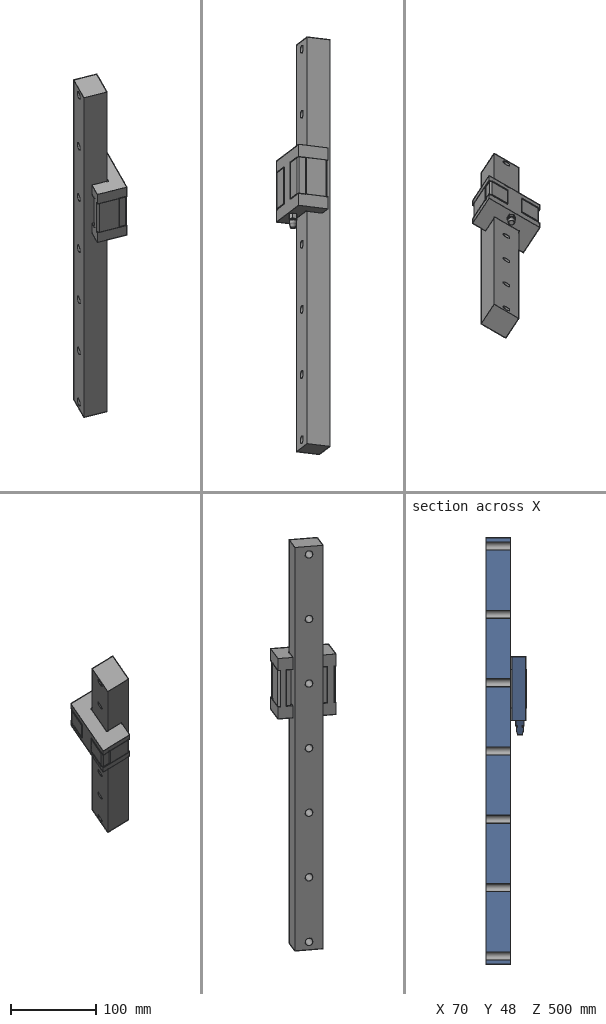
import cadquery as cq


RAIL_LENGTH = 500.0
RAIL_WIDTH = 34.0
RAIL_DEPTH = 29.0
HOLE_DIAMETER = 9.0
HOLE_PITCH = 80.0
HOLE_COUNT = 7
FIRST_HOLE_Z = (RAIL_LENGTH - HOLE_PITCH * (HOLE_COUNT - 1)) / 2

TOTAL_DEPTH = 48.0
CARRIAGE_TOP_Z = 360.5
CAP_WIDTH = 70.0
CAP_LENGTH = 15.0
CARRIAGE_FRONT_Y = 10.0
CAP_BACK_Y = 47.0
BLOCK_WIDTH = 69.5
BLOCK_LENGTH = 45.0
BLOCK_FRONT_CHAMFER = 2.5
BLOCK_BACK_CHAMFER = 2.0
SIDE_STEP = 1.0
SIDE_STEP_Y = 37.0
BLOCK_BASE_Z = CARRIAGE_TOP_Z - CAP_LENGTH - BLOCK_LENGTH
CARRIAGE_BASE_Z = BLOCK_BASE_Z - CAP_LENGTH

RELIEF_WIDTH = 19.5
RELIEF_DEPTH = 1.0

SLOT_BACK_GAP = 1.5
SLOT_BACK_Y = RAIL_DEPTH + SLOT_BACK_GAP
BLOCK_RAIL_GAP = 2.0
RECESS_WIDTH = 49.5
RECESS_DEPTH = 2.0

NIPPLE_Y = 40.0
HEX_ACROSS_FLATS = 8.5
HEX_LENGTH = 6.0
NECK_DIAMETER = 6.0
NECK_LENGTH = 1.5
HEAD_DIAMETER = 8.5
HEAD_LENGTH = 4.5
TIP_DIAMETER = 6.0
TIP_LENGTH = 4.5


def box(width, y_start, y_end, z_start, length):
    """Box centred on X, between two Y positions, rising from z_start."""
    return (
        cq.Workplane("XY", origin=(0, 0, z_start))
        .center(0, (y_start + y_end) / 2)
        .rect(width, y_end - y_start)
        .extrude(length)
    )


def make_rail():
    """Rectangular rail with a row of through holes along its length."""
    rail = box(RAIL_WIDTH, 0, RAIL_DEPTH, 0, RAIL_LENGTH)
    holes = (
        cq.Workplane("XZ")
        .pushPoints([(0, FIRST_HOLE_Z + i * HOLE_PITCH) for i in range(HOLE_COUNT)])
        .circle(HOLE_DIAMETER / 2)
        .extrude(-RAIL_DEPTH)
    )
    return rail.cut(holes)


def make_block():
    """Middle of the carriage: narrower towards the back, relieved, and recessed beside the rail."""
    half = BLOCK_WIDTH / 2
    back_half = half - SIDE_STEP
    block = (
        cq.Workplane("XY", origin=(0, 0, BLOCK_BASE_Z))
        .moveTo(0, CARRIAGE_FRONT_Y)
        .lineTo(half - BLOCK_FRONT_CHAMFER, CARRIAGE_FRONT_Y)
        .lineTo(half, CARRIAGE_FRONT_Y + BLOCK_FRONT_CHAMFER)
        .lineTo(half, SIDE_STEP_Y)
        .lineTo(back_half, SIDE_STEP_Y + SIDE_STEP)
        .lineTo(back_half, TOTAL_DEPTH - BLOCK_BACK_CHAMFER)
        .lineTo(back_half - BLOCK_BACK_CHAMFER, TOTAL_DEPTH)
        .lineTo(0, TOTAL_DEPTH)
        .mirrorY()
        .extrude(BLOCK_LENGTH)
    )
    relief = box(RELIEF_WIDTH, TOTAL_DEPTH - RELIEF_DEPTH, TOTAL_DEPTH, BLOCK_BASE_Z, BLOCK_LENGTH)
    recess = box(RECESS_WIDTH, CARRIAGE_FRONT_Y, CARRIAGE_FRONT_Y + RECESS_DEPTH, BLOCK_BASE_Z, BLOCK_LENGTH)
    gap = box(RAIL_WIDTH + 2 * BLOCK_RAIL_GAP, CARRIAGE_FRONT_Y, SLOT_BACK_Y, BLOCK_BASE_Z, BLOCK_LENGTH)
    return block.cut(relief).cut(recess).cut(gap)


def make_end_cap(base_z):
    """Plain end cap that fits around the rail."""
    cap = box(CAP_WIDTH, CARRIAGE_FRONT_Y, CAP_BACK_Y, base_z, CAP_LENGTH)
    rail_slot = box(RAIL_WIDTH, CARRIAGE_FRONT_Y, SLOT_BACK_Y, base_z, CAP_LENGTH)
    return cap.cut(rail_slot)


def make_carriage():
    """Block and both end caps as one body."""
    carriage = make_block()
    for base_z in (CARRIAGE_BASE_Z, BLOCK_BASE_Z + BLOCK_LENGTH):
        carriage = carriage.union(make_end_cap(base_z))
    return carriage


def make_grease_nipple():
    """Hexagon, neck, round head and tapered tip, pointing down from the lower end cap."""
    nipple = (
        cq.Workplane("XY", origin=(0, NIPPLE_Y, CARRIAGE_BASE_Z))
        .polygon(6, HEX_ACROSS_FLATS, circumscribed=True)
        .extrude(-HEX_LENGTH)
        .faces("<Z").workplane()
        .circle(NECK_DIAMETER / 2)
        .extrude(NECK_LENGTH)
        .faces("<Z").workplane()
        .circle(HEAD_DIAMETER / 2)
        .extrude(HEAD_LENGTH)
    )
    tip = (
        nipple.faces("<Z").workplane()
        .circle(HEAD_DIAMETER / 2)
        .workplane(offset=TIP_LENGTH)
        .circle(TIP_DIAMETER / 2)
        .loft(combine=False)
    )
    return nipple.union(tip)


rail = make_rail()
carriage = make_carriage()
grease_nipple = make_grease_nipple()

result = cq.Compound.makeCompound([rail.val(), carriage.val(), grease_nipple.val()])